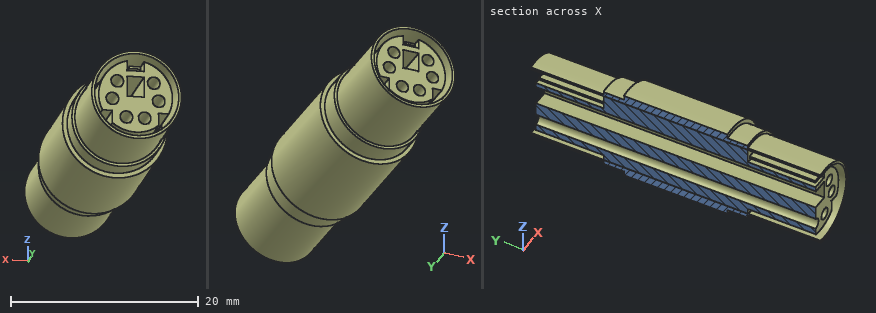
import cadquery as cq

LENGTH = 35.55
GRIP_LENGTH = 12.73
COLLAR_LENGTH = 17.7
GRIP_RADIUS = 5.743
COLLAR_RADIUS = 5.23
TUBE_RADIUS = 4.9
BORE_RADIUS = 4.6

BLOCK_RADIUS = 4.02
FACE_RECESS = 0.6
GAP_DEPTH = 8.9
BLOCK_LENGTH = LENGTH - 2 * FACE_RECESS
FLANGE_LENGTH = LENGTH - 2 * GAP_DEPTH

HOLE_DIAMETER = 1.35
HOLE_PAIRS = [(2.0, 1.6), (2.52, -0.4), (1.0, -2.4)]

WINDOW_WIDTH = 1.85
WINDOW_BOTTOM = -0.05
WINDOW_TOP = 2.2

TOP_NOTCH_WIDTH = 1.85
TOP_NOTCH_FLOOR = 2.85
SIDE_NOTCH_X = 2.52
SIDE_NOTCH_TOP = -1.75

TAB_WIDTH = 1.25
TAB_THICKNESS = 0.25
TAB_HEIGHT = 3.27
TAB_RECESS = 0.82
TAB_LENGTH = LENGTH - 2 * TAB_RECESS


def cylinder(radius, length):
    """Cylinder along Y, centred on the origin."""
    return cq.Workplane("XZ", origin=(0, length / 2, 0)).circle(radius).extrude(length)


def bar(x_min, x_max, z_min, z_max, length):
    """Rectangular bar along Y, centred on the XZ plane."""
    width = x_max - x_min
    height = z_max - z_min
    centre = (x_min + width / 2, 0, z_min + height / 2)
    return cq.Workplane("XY").box(width, length, height).translate(centre)


def make_housing():
    outside = cylinder(TUBE_RADIUS, LENGTH)
    outside = outside.union(cylinder(COLLAR_RADIUS, COLLAR_LENGTH))
    outside = outside.union(cylinder(GRIP_RADIUS, GRIP_LENGTH))
    return outside.cut(cylinder(BORE_RADIUS, LENGTH))


def cut_key_notches(core):
    half_width = TOP_NOTCH_WIDTH / 2
    core = core.cut(bar(-half_width, half_width, TOP_NOTCH_FLOOR, BLOCK_RADIUS, BLOCK_LENGTH))
    core = core.cut(bar(SIDE_NOTCH_X, BLOCK_RADIUS, -BLOCK_RADIUS, SIDE_NOTCH_TOP, BLOCK_LENGTH))
    return core.cut(bar(-BLOCK_RADIUS, -SIDE_NOTCH_X, -BLOCK_RADIUS, SIDE_NOTCH_TOP, BLOCK_LENGTH))


def make_tabs():
    """One bar that shows as a tab on each side of the flange."""
    return bar(
        -TAB_WIDTH / 2,
        TAB_WIDTH / 2,
        TAB_HEIGHT - TAB_THICKNESS / 2,
        TAB_HEIGHT + TAB_THICKNESS / 2,
        TAB_LENGTH,
    )


def cut_openings(block):
    block = block.cut(bar(-WINDOW_WIDTH / 2, WINDOW_WIDTH / 2, WINDOW_BOTTOM, WINDOW_TOP, BLOCK_LENGTH))
    for half_spacing, height in HOLE_PAIRS:
        for x in (-half_spacing, half_spacing):
            hole = cylinder(HOLE_DIAMETER / 2, BLOCK_LENGTH).translate((x, 0, height))
            block = block.cut(hole)
    return block


def make_contact_block():
    core = cut_key_notches(cylinder(BLOCK_RADIUS, BLOCK_LENGTH))
    flange = cylinder(BORE_RADIUS, FLANGE_LENGTH)
    return cut_openings(core.union(flange).union(make_tabs()))


housing = make_housing()
contact_block = make_contact_block()

result = cq.Compound.makeCompound([housing.val(), contact_block.val()])